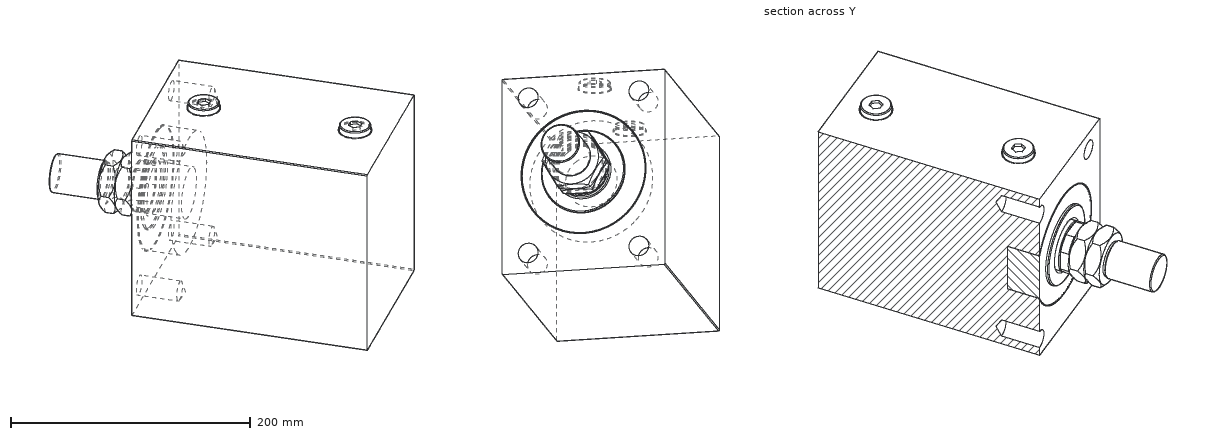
import cadquery as cq
import math


BLOCK_LENGTH = 205.0
BLOCK_WIDTH = 140.0
BLOCK_HEIGHT = 170.0
BLOCK_EDGE_CHAMFER = 1.0
BLOCK_TOP = BLOCK_HEIGHT / 2

HOLE_DIAMETER = 17.0
HOLE_DEPTH = 35.2
HOLE_TIP_ANGLE = 118.0
HOLE_SPACING_Y = 95.0
HOLE_SPACING_Z = 135.0

GLAND_DIAMETER = 105.5
GLAND_DEPTH = 29.3
BORE_EDGE_CHAMFER = 1.0
BOSS_DIAMETER = 71.5
BOSS_HEIGHT = 2.5
BOSS_CHAMFER = 1.0
ROD_BORE_CHAMFER = 2.0

ROD_DIAMETER = 44.2
ROD_CHAMFER = 1.0
ROD_TIP_X = -14.6
FLATS_END_X = -6.2
ACROSS_ROD_FLATS = 40.0

STUD_TIP_X = -88.0
STUD_DIAMETER = 33.0
STUD_CHAMFER = 1.0
HEX_COUNT = 2
HEX_THICKNESS = 14.5
HEX_ACROSS_FLATS = 46.0
HEX_FACE_DIAMETER = 45.5
UNDERCUT_DIAMETER = 30.8
UNDERCUT_WIDTH = 1.8

PLUG_POSITIONS_X = (42.2, 174.0)
PLUG_DIAMETER = 26.5
PLUG_PROTRUSION = 5.0
PLUG_CHAMFER = 1.0
SPOTFACE_DIAMETER = 28.0
SPOTFACE_DEPTH = 1.0
SOCKET_ACROSS_FLATS = 10.0
SOCKET_DEPTH = 2.5


def cylinder_x(start, end, diameter):
    """Solid cylinder on the X axis between two X positions."""
    return cq.Workplane("YZ").workplane(offset=start).circle(diameter / 2).extrude(end - start)


def hexagon_diameter(across_flats):
    """Corner-to-corner diameter of a regular hexagon."""
    return across_flats / math.cos(math.pi / 6)


def make_mounting_hole_cutter():
    """Blind drilled hole on the X axis, with a conical bottom."""
    radius = HOLE_DIAMETER / 2
    tip_length = radius / math.tan(math.radians(HOLE_TIP_ANGLE / 2))
    profile = [(0, 0), (0, radius), (HOLE_DEPTH, radius), (HOLE_DEPTH + tip_length, 0)]
    return cq.Workplane("XY").polyline(profile).close().revolve(360, (0, 0, 0), (1, 0, 0))


def make_housing():
    block = (
        cq.Workplane("XY")
        .box(BLOCK_LENGTH, BLOCK_WIDTH, BLOCK_HEIGHT, centered=(False, True, True))
        .edges("|X")
        .chamfer(BLOCK_EDGE_CHAMFER)
    )

    block = block.cut(cylinder_x(0, GLAND_DEPTH, GLAND_DIAMETER))
    block = block.edges(cq.selectors.RadiusNthSelector(0)).edges("<X").chamfer(BORE_EDGE_CHAMFER)

    hole = make_mounting_hole_cutter()
    for side_y in (-1, 1):
        for side_z in (-1, 1):
            centre = (0, side_y * HOLE_SPACING_Y / 2, side_z * HOLE_SPACING_Z / 2)
            block = block.cut(hole.translate(centre))

    spotfaces = (
        cq.Workplane("XY", origin=(0, 0, BLOCK_TOP))
        .pushPoints([(x, 0) for x in PLUG_POSITIONS_X])
        .circle(SPOTFACE_DIAMETER / 2)
        .extrude(-SPOTFACE_DEPTH)
    )
    return block.cut(spotfaces)


def make_gland():
    boss = cylinder_x(-BOSS_HEIGHT, 0, BOSS_DIAMETER).faces("<X").chamfer(BOSS_CHAMFER)
    gland = cylinder_x(0, GLAND_DEPTH, GLAND_DIAMETER).union(boss)
    gland = gland.cut(cylinder_x(-BOSS_HEIGHT, GLAND_DEPTH, ROD_DIAMETER))
    return gland.faces("<X").edges(cq.selectors.RadiusNthSelector(0)).chamfer(ROD_BORE_CHAMFER)


def make_rod():
    rod = cylinder_x(FLATS_END_X, GLAND_DEPTH, ROD_DIAMETER).faces("<X").chamfer(ROD_CHAMFER)

    flats_length = FLATS_END_X - ROD_TIP_X
    square = (
        cq.Workplane("YZ", origin=(ROD_TIP_X, 0, 0))
        .rect(ACROSS_ROD_FLATS, ACROSS_ROD_FLATS)
        .extrude(flats_length)
    )
    tip = cylinder_x(ROD_TIP_X, FLATS_END_X, ROD_DIAMETER).faces("<X").chamfer(ROD_CHAMFER)
    return rod.union(tip.intersect(square))


def make_hexagon(start):
    """Hexagon on the X axis with 45 degree corner chamfers, down to round faces at both ends."""
    corner_diameter = hexagon_diameter(HEX_ACROSS_FLATS)
    hexagon = (
        cq.Workplane("YZ", origin=(start, 0, 0))
        .polygon(6, corner_diameter)
        .extrude(HEX_THICKNESS)
    )
    envelope = (
        cylinder_x(start, start + HEX_THICKNESS, corner_diameter)
        .faces("<X or >X")
        .chamfer((corner_diameter - HEX_FACE_DIAMETER) / 2)
    )
    return hexagon.intersect(envelope)


def make_rod_end():
    hexes_start = ROD_TIP_X - HEX_COUNT * HEX_THICKNESS
    undercut_start = hexes_start - UNDERCUT_WIDTH

    stud = cylinder_x(STUD_TIP_X, undercut_start, STUD_DIAMETER).faces("<X or >X").chamfer(STUD_CHAMFER)
    rod_end = stud.union(cylinder_x(undercut_start, hexes_start, UNDERCUT_DIAMETER))
    for index in range(HEX_COUNT):
        rod_end = rod_end.union(make_hexagon(hexes_start + index * HEX_THICKNESS))
    return rod_end


def make_plug(position_x):
    seat = BLOCK_TOP - SPOTFACE_DEPTH
    head = (
        cq.Workplane("XY", origin=(position_x, 0, seat))
        .circle(PLUG_DIAMETER / 2)
        .extrude(SPOTFACE_DEPTH + PLUG_PROTRUSION)
        .faces(">Z")
        .chamfer(PLUG_CHAMFER)
    )
    socket = (
        cq.Workplane("XY", origin=(position_x, 0, BLOCK_TOP + PLUG_PROTRUSION))
        .transformed(rotate=(0, 0, 90))
        .polygon(6, hexagon_diameter(SOCKET_ACROSS_FLATS))
        .extrude(-SOCKET_DEPTH)
    )
    return head.cut(socket)


housing = make_housing()
gland = make_gland()
rod = make_rod()
rod_end = make_rod_end()
plugs = [make_plug(position_x) for position_x in PLUG_POSITIONS_X]

result = cq.Compound.makeCompound(
    [
        housing.val(),
        gland.val(),
        rod.val(),
        rod_end.val(),
        *[plug.val() for plug in plugs],
    ]
)